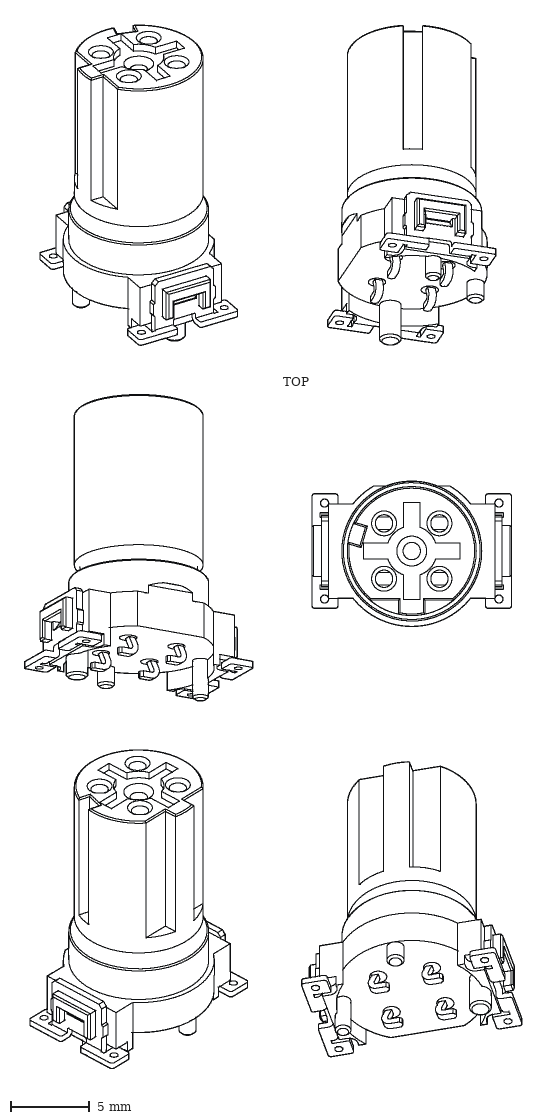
import cadquery as cq
import math

peg_bottom_z = -1.35
disc_bottom_z = 1.23
disc_top_z = 3.55
flange_top_z = 5.85
neck_top_z = 6.9
top_z = 17.0

barrel_radius = 8.2 / 2
neck_radius = 7.5 / 2
flange_radius = 8.9 / 2
disc_radius = 9.6 / 2
barrel_chamfer = 0.1
flange_chamfer = 0.1
neck_fillet = 0.15
back_flat_y = 4.15
back_flat_top_z = 4.08
back_flat_slope_height = 0.25

contact_pitch = 3.52
contact_diameter = 1.1
contact_mouth_diameter = 1.58
center_floor_diameter = 1.1
center_mouth_diameter = 1.9
cross_length = 6.16
cross_width = 1.02
cross_center_diameter = 3.2
cross_depth = 0.5
contact_depth = 5.0

groove_bottom_z = 8.05
key_width = 1.7
key_root_y = -3.12
side_groove_angle = 163.4
side_groove_width = 1.22
side_groove_root = 3.25

block_half_x = 5.3
block_half_y = 3.0
pocket_inner_x = 4.22
pocket_inner_y = 2.17
pocket_height = 0.73
pocket_corner_radius = 0.6

peg_x = 4.5
small_peg_diameter = 1.0
large_peg_diameter = 1.38
front_peg_diameter = 1.1
front_peg_y = -4.25
peg_chamfer = 0.15

clip_thickness = 0.44
clip_outer_x = block_half_x + clip_thickness
clip_half_width = 2.16
clip_top_z = 3.9
clip_corner = 0.25
clip_notch_half_width = 0.82
clip_notch_top_z = 0.79
clip_notch_radius = 0.12
clip_bump_width = 0.12
clip_bump_low_z = 1.5
clip_bump_high_z = 2.32
clip_bump_slope = 0.1

foot_outer_x = 12.7 / 2
foot_thickness = 0.42
foot_half_span = 3.65
pad_inner_x = 4.68
pad_inner_y = 2.42
arm_inner_x = 5.82
foot_corner_radius = 0.2
foot_end_radius = 0.13
foot_bend_radius = 0.38
foot_hole_diameter = 0.5
foot_hole_x = 5.54
foot_hole_y = 3.05

boss_half_width = 1.63
boss_bottom_z = 1.25
boss_top_z = 3.28
boss_chamfer = 0.12
boss_opening_half_width = 1.07
boss_opening_top_z = 2.45
ramp_half_width = 0.88
ramp_bottom_z = 1.86
ramp_top_z = 2.38
ramp_reach = 0.35

head_width = 0.8
head_length = 1.0
tail_width = 0.5
tail_thickness = 0.39
tail_bottom_z = 0.07
tail_bend_x = -0.04
tail_outer_radius = 0.55
tail_tip_x = 0.72
tail_lean = math.radians(25)
tail_overlap = 0.2
tail_tip_chamfer = 0.15


def box(x_range, y_range, z_range):
    """Box given by its limits along each axis."""
    (x0, x1), (y0, y1), (z0, z1) = x_range, y_range, z_range
    return cq.Workplane("XY").box(x1 - x0, y1 - y0, z1 - z0, centered=False).translate((x0, y0, z0))


def cylinder(diameter, bottom_z, height, x=0, y=0):
    return cq.Workplane("XY", origin=(x, y, bottom_z)).circle(diameter / 2).extrude(height)


def mirrored(shape):
    """The same shape on the opposite (-X) side."""
    return shape.mirror("YZ")


contact_points = [
    (x, y)
    for x in (-contact_pitch / 2, contact_pitch / 2)
    for y in (-contact_pitch / 2, contact_pitch / 2)
]


def barrel():
    """Barrel with its neck, lengthwise grooves and chamfered end."""
    neck = cylinder(2 * neck_radius, flange_top_z, neck_top_z - flange_top_z)
    body = cylinder(2 * barrel_radius, neck_top_z, top_z - neck_top_z)
    groove_z = (groove_bottom_z, top_z)
    for side in (-1, 1):
        inner, outer = sorted((side * key_width / 2, side * barrel_radius))
        body = body.cut(box((inner, outer), (-barrel_radius, key_root_y), groove_z))
    side_groove = box(
        (side_groove_root, 2 * barrel_radius),
        (-side_groove_width / 2, side_groove_width / 2),
        groove_z,
    )
    body = body.cut(side_groove.rotate((0, 0, 0), (0, 0, 1), side_groove_angle))
    body = body.faces(">Z").edges().chamfer(barrel_chamfer)
    return body.union(neck)


def base():
    """Flange, disc and side blocks, with the flat across the back of the disc."""
    disc = cylinder(2 * disc_radius, disc_bottom_z, disc_top_z - disc_bottom_z)
    flange = cylinder(2 * flange_radius, disc_top_z, flange_top_z - disc_top_z)
    flange = flange.faces(">Z").edges().chamfer(flange_chamfer)
    slope_end_y = back_flat_y + back_flat_slope_height
    back_cut = (
        cq.Workplane("YZ", origin=(-disc_radius, 0, 0))
        .moveTo(back_flat_y, 0)
        .lineTo(back_flat_y, back_flat_top_z)
        .lineTo(slope_end_y, back_flat_top_z + back_flat_slope_height)
        .lineTo(disc_radius, back_flat_top_z + back_flat_slope_height)
        .lineTo(disc_radius, 0)
        .close()
        .extrude(2 * disc_radius)
    )
    block = side_block()
    return disc.union(flange).cut(back_cut).union(block).union(mirrored(block))


def side_block():
    """Block on the +X side, standing on the mounting plane outside the disc."""
    block = box((0, block_half_x), (-block_half_y, block_half_y), (0, disc_top_z))
    block = block.cut(cylinder(2 * disc_radius, 0, disc_bottom_z))
    for side in (-1, 1):
        inner, outer = sorted((side * pocket_inner_y, side * foot_half_span))
        pocket = box((pocket_inner_x, foot_outer_x), (inner, outer), (0, pocket_height))
        inner_corner = "<X and >Y" if side < 0 else "<X and <Y"
        pocket = pocket.edges("|Z").edges(inner_corner).fillet(pocket_corner_radius)
        block = block.cut(pocket)
    return block


def boss():
    """U-shaped boss on the +X side, open downwards and chamfered round its end face."""
    outline = box(
        (block_half_x, foot_outer_x),
        (-boss_half_width, boss_half_width),
        (boss_bottom_z, boss_top_z),
    )
    opening = box(
        (block_half_x, foot_outer_x),
        (-boss_opening_half_width, boss_opening_half_width),
        (boss_bottom_z, boss_opening_top_z),
    )
    return outline.cut(opening).faces(">X").edges().chamfer(boss_chamfer)


def latch_ramp():
    """Wedge inside the boss, falling outwards from the block face."""
    return (
        cq.Workplane("XZ", origin=(0, ramp_half_width, 0))
        .moveTo(block_half_x, ramp_bottom_z)
        .lineTo(block_half_x + ramp_reach, ramp_bottom_z)
        .lineTo(block_half_x, ramp_top_z)
        .close()
        .extrude(2 * ramp_half_width)
    )


def peg(diameter, x, y, bottom_z, peg_top_z):
    post = cylinder(diameter, bottom_z, peg_top_z - bottom_z, x, y)
    return post.faces("<Z").edges().chamfer(peg_chamfer)


def contact_bore(x, y):
    """Cutter for a contact bore through the housing, with a 45 degree mouth."""
    radius = contact_diameter / 2
    mouth_radius = contact_mouth_diameter / 2
    return (
        cq.Workplane("XZ")
        .moveTo(0, disc_bottom_z)
        .lineTo(radius, disc_bottom_z)
        .lineTo(radius, top_z - (mouth_radius - radius))
        .lineTo(mouth_radius, top_z)
        .lineTo(0, top_z)
        .close()
        .revolve(360, (0, 0, 0), (0, 1, 0))
        .translate((x, y, 0))
    )


def center_dimple():
    """Cutter for the flat-bottomed 45 degree cone in the floor of the cross."""
    depth = (center_mouth_diameter - center_floor_diameter) / 2
    mouth = cq.Workplane("XY", origin=(0, 0, top_z - cross_depth)).circle(center_mouth_diameter / 2)
    return mouth.extrude(-depth, taper=45)


def cross_recess():
    half_length = cross_length / 2
    half_width = cross_width / 2
    recess_z = (top_z - cross_depth, top_z)
    recess = cylinder(cross_center_diameter, top_z - cross_depth, cross_depth)
    recess = recess.union(box((-half_length, half_length), (-half_width, half_width), recess_z))
    return recess.union(box((-half_width, half_width), (-half_length, half_length), recess_z))


def make_housing():
    body = base().union(barrel())
    neck_root = cq.selectors.BoxSelector(
        (-barrel_radius, -barrel_radius, flange_top_z - neck_fillet / 2),
        (barrel_radius, barrel_radius, neck_top_z + neck_fillet / 2),
    )
    neck_circles = body.edges(neck_root).edges(cq.selectors.RadiusNthSelector(0))
    body = neck_circles.fillet(neck_fillet)

    body = body.union(peg(small_peg_diameter, -peg_x, 0, peg_bottom_z, disc_bottom_z))
    body = body.union(peg(large_peg_diameter, peg_x, 0, peg_bottom_z, disc_bottom_z))
    body = body.union(peg(front_peg_diameter, 0, front_peg_y, 0, disc_top_z))
    for feature in (boss(), latch_ramp()):
        body = body.union(feature).union(mirrored(feature))

    body = body.cut(cross_recess())
    body = body.cut(center_dimple())
    for x, y in contact_points:
        body = body.cut(contact_bore(x, y))
    return body


def clip_plate():
    """Upright plate with chamfered top corners, side bumps and a bottom notch."""
    side_points = [
        (clip_half_width, clip_bump_low_z - clip_bump_slope),
        (clip_half_width + clip_bump_width, clip_bump_low_z),
        (clip_half_width + clip_bump_width, clip_bump_high_z),
        (clip_half_width, clip_bump_high_z + clip_bump_slope),
        (clip_half_width, clip_top_z - clip_corner),
        (clip_half_width - clip_corner, clip_top_z),
    ]
    outline = [(clip_half_width, 0)] + side_points
    outline += [(-y, z) for y, z in reversed(outline)]
    plate = (
        cq.Workplane("YZ", origin=(block_half_x, 0, 0)).polyline(outline).close().extrude(clip_thickness)
    )
    plate_x = (block_half_x, clip_outer_x)
    notch = box(plate_x, (-clip_notch_half_width, clip_notch_half_width), (0, clip_notch_top_z))
    notch = notch.edges("|X and >Z").fillet(clip_notch_radius)
    window = box(plate_x, (-boss_half_width, boss_half_width), (boss_bottom_z, boss_top_z))
    tongue = box(
        plate_x,
        (-boss_opening_half_width, boss_opening_half_width),
        (boss_bottom_z, boss_opening_top_z),
    )
    ramp_window = box(plate_x, (-ramp_half_width, ramp_half_width), (ramp_bottom_z, boss_opening_top_z))
    return plate.cut(notch).cut(window.cut(tongue)).cut(ramp_window)


def clip_foot():
    """Foot on the +Y side: an arm along the plate ending in a pad with a hole."""
    foot = (
        cq.Workplane("XY")
        .moveTo(block_half_x, clip_notch_half_width)
        .lineTo(foot_outer_x, clip_notch_half_width)
        .lineTo(foot_outer_x, foot_half_span)
        .lineTo(pad_inner_x, foot_half_span)
        .lineTo(pad_inner_x, pad_inner_y)
        .lineTo(arm_inner_x, pad_inner_y)
        .lineTo(arm_inner_x, clip_half_width)
        .lineTo(block_half_x, clip_half_width)
        .close()
        .extrude(foot_thickness)
    )
    foot = foot.edges("|Z and >Y").fillet(foot_corner_radius)
    foot = foot.edges("|Z").edges(">X and <Y").fillet(foot_end_radius)
    hole = cylinder(foot_hole_diameter, 0, foot_thickness, foot_hole_x, foot_hole_y)
    return foot.cut(hole)


def make_clip():
    """Clip on the +X side."""
    foot = clip_foot()
    clip = clip_plate().union(foot).union(foot.mirror("XZ"))
    bend_line = cq.selectors.BoxSelector(
        (block_half_x - clip_thickness / 2, -pad_inner_y, -foot_thickness / 2),
        (block_half_x + clip_thickness / 2, pad_inner_y, foot_thickness / 2),
    )
    return clip.edges(bend_line).edges("|Y").fillet(foot_bend_radius)


def contact_tail():
    """Hooked tail: a leaning shank, a bend and a flat solder leg."""
    inner_radius = tail_outer_radius - tail_thickness
    bend_z = tail_bottom_z + tail_outer_radius
    shank_top_z = disc_bottom_z + tail_overlap

    def on_bend(radius, angle):
        return (tail_bend_x + radius * math.cos(angle), bend_z + radius * math.sin(angle))

    def shank_top(point):
        return (point[0] + (shank_top_z - point[1]) * math.tan(tail_lean), shank_top_z)

    bend_start = math.pi - tail_lean
    bend_end = 1.5 * math.pi
    bend_middle = (bend_start + bend_end) / 2
    outer_start = on_bend(tail_outer_radius, bend_start)
    inner_start = on_bend(inner_radius, bend_start)
    tail = (
        cq.Workplane("XZ", origin=(0, tail_width / 2, 0))
        .moveTo(*shank_top(outer_start))
        .lineTo(*outer_start)
        .threePointArc(on_bend(tail_outer_radius, bend_middle), on_bend(tail_outer_radius, bend_end))
        .lineTo(tail_tip_x, tail_bottom_z)
        .lineTo(tail_tip_x, tail_bottom_z + tail_thickness)
        .lineTo(*on_bend(inner_radius, bend_end))
        .threePointArc(on_bend(inner_radius, bend_middle), inner_start)
        .lineTo(*shank_top(inner_start))
        .close()
        .extrude(tail_width)
    )
    return tail.edges("|Z and >X").chamfer(tail_tip_chamfer)


def make_contact():
    """Round contact filling the lower part of its bore, with a flatted head and the tail below."""
    radius = contact_diameter / 2
    head_top_z = top_z - contact_depth
    post = cylinder(contact_diameter, disc_bottom_z, head_top_z - disc_bottom_z)
    head_z = (head_top_z - head_length, head_top_z)
    post = post.cut(box((-radius, radius), (head_width / 2, radius), head_z))
    post = post.cut(box((-radius, radius), (-radius, -head_width / 2), head_z))
    return post.union(contact_tail())


housing = make_housing()
right_clip = make_clip()
clips = [right_clip, mirrored(right_clip)]
contacts = [make_contact().translate((x, y, 0)) for x, y in contact_points]

result = cq.Compound.makeCompound(
    [housing.val()] + [clip.val() for clip in clips] + [contact.val() for contact in contacts]
)